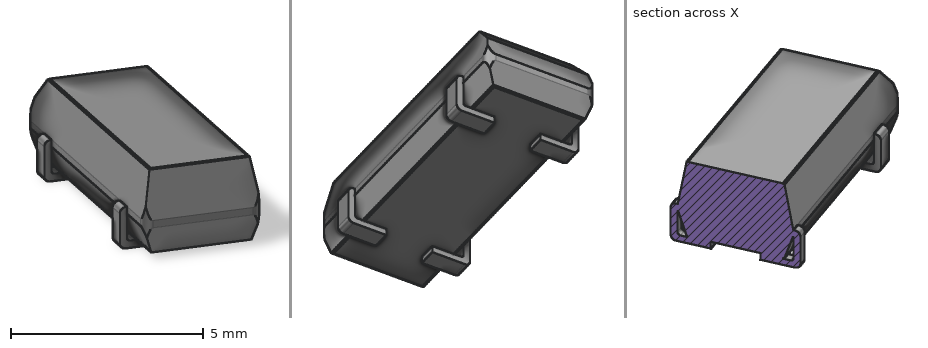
import cadquery as cq

length = 8.5
width = 3.7
height = 2.5

lead_thickness = 0.2
lead_width = 0.53
lead_spacing = 5.5
lead_top = 1.15
lead_outer_radius = 0.16
lead_inner_radius = 0.085
foot_inner_y = 0.7

body_bottom = lead_thickness
body_half_length = length / 2
body_half_width = width / 2 - lead_thickness
corner_radius = 0.25
band_bottom = 0.95
band_top = 1.16
side_taper = 0.25
end_taper_top = 0.255
end_taper_bottom = 0.13
edge_run = 0.05
edge_drop = 0.025

nose_low_x = -4.04
nose_low_z = 1.79
nose_top_x = -3.4


def make_body():
    """Intersect the two tapered profiles with a prism that rounds the corners."""
    body_width = 2 * body_half_width
    top_x = body_half_length - end_taper_top
    bottom_x = body_half_length - end_taper_bottom
    long_profile = [
        (-body_half_length, band_bottom),
        (-body_half_length, band_top),
        (nose_low_x, nose_low_z),
        (nose_top_x, height),
        (top_x - edge_run, height),
        (top_x, height - edge_drop),
        (body_half_length, band_top),
        (body_half_length, band_bottom),
        (bottom_x, body_bottom + edge_drop),
        (bottom_x - edge_run, body_bottom),
        (edge_run - bottom_x, body_bottom),
        (-bottom_x, body_bottom + edge_drop),
    ]
    narrow_y = body_half_width - side_taper
    half_section = [
        (narrow_y - edge_run, body_bottom),
        (narrow_y, body_bottom + edge_drop),
        (body_half_width, band_bottom),
        (body_half_width, band_top),
        (narrow_y, height - edge_drop),
        (narrow_y - edge_run, height),
    ]
    cross_section = half_section + [(-y, z) for y, z in reversed(half_section)]

    lengthwise = cq.Workplane("XZ").polyline(long_profile).close().extrude(body_half_width, both=True)
    crosswise = cq.Workplane("YZ").polyline(cross_section).close().extrude(body_half_length, both=True)
    prism = cq.Workplane("XY").rect(length, body_width).extrude(height).edges("|Z").fillet(corner_radius)
    return prism.intersect(lengthwise).intersect(crosswise)


def make_lead(center_x):
    """L-shaped lead on the +Y side, with its foot turned in under the body."""
    outer_y = width / 2
    lead = (
        cq.Workplane("YZ", origin=(center_x, 0, 0))
        .moveTo(foot_inner_y, 0)
        .lineTo(outer_y, 0)
        .lineTo(outer_y, lead_top)
        .lineTo(body_half_width, lead_top)
        .lineTo(body_half_width, lead_thickness)
        .lineTo(foot_inner_y, lead_thickness)
        .close()
        .extrude(lead_width / 2, both=True)
    )
    lead = lead.edges("|X and >Y").fillet(lead_outer_radius)
    inner_bend = cq.NearestToPointSelector((center_x, body_half_width, lead_thickness))
    return lead.edges(inner_bend).fillet(lead_inner_radius)


result = make_body()
for lead_x in (-lead_spacing / 2, lead_spacing / 2):
    lead = make_lead(lead_x)
    result = result.union(lead).union(lead.mirror("XZ"))